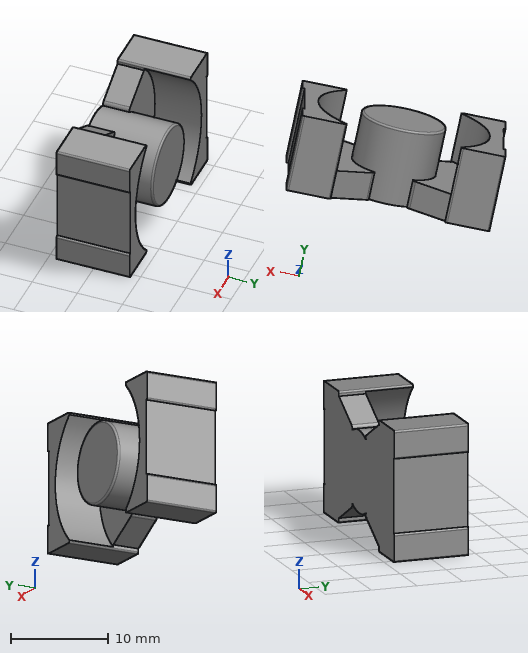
import cadquery as cq

length = 21.3
depth = 8.1
height = 14.0

web_thickness = 2.95
post_radius = 4.4
winding_radius = 9.0
leg_inner_x = 6.0
notch_half_width = 2.0
notch_corner_z = 4.28
web_corner_z = 6.48
side_recess_depth = 0.21
side_recess_half_height = 3.96
edge_radius = 0.2
notch_radius = 0.5
post_edge_radius = 0.21

half_length = length / 2
half_height = height / 2
recess_x = half_length - side_recess_depth


def extrude_along_y(sketch, thickness):
    """Extrude an XZ sketch from the front face (y = 0) towards +Y."""
    return sketch.extrude(-thickness)


def round_edges(body, x, z, radius):
    """Round the Y-parallel edges at (+-x, +-z)."""
    tolerance = 0.01
    for side_x in (-x, x):
        for side_z in (-z, z):
            low = (side_x - tolerance, -tolerance, side_z - tolerance)
            high = (side_x + tolerance, depth + tolerance, side_z + tolerance)
            body = body.edges(cq.selectors.BoxSelector(low, high)).fillet(radius)
    return body


def make_half_web(side):
    """Tapered plate between one leg and the notches beside the post."""
    outline = [
        (side * leg_inner_x, web_corner_z),
        (side * notch_half_width, notch_corner_z),
        (side * notch_half_width, -notch_corner_z),
        (side * leg_inner_x, -web_corner_z),
    ]
    return extrude_along_y(cq.Workplane("XZ").polyline(outline).close(), web_thickness)


def make_leg(side):
    """Outer leg with a shallow recess along its outer face."""
    outline = [
        (side * leg_inner_x, half_height),
        (side * half_length, half_height),
        (side * half_length, side_recess_half_height),
        (side * recess_x, side_recess_half_height),
        (side * recess_x, -side_recess_half_height),
        (side * half_length, -side_recess_half_height),
        (side * half_length, -half_height),
        (side * leg_inner_x, -half_height),
    ]
    return extrude_along_y(cq.Workplane("XZ").polyline(outline).close(), depth)


def make_winding_space():
    """Round clearance around the post, in front of the web."""
    cylinder = extrude_along_y(cq.Workplane("XZ").circle(winding_radius), depth - web_thickness)
    return cylinder.translate((0, web_thickness, 0))


def make_post():
    """Round center post running the full depth, with a rounded free end."""
    post = extrude_along_y(cq.Workplane("XZ").circle(post_radius), depth)
    return post.faces(">Y").edges().fillet(post_edge_radius)


legs = make_leg(-1).union(make_leg(1))
legs = round_edges(legs, leg_inner_x, half_height, edge_radius)
legs = round_edges(legs, half_length, half_height, edge_radius)
legs = round_edges(legs, half_length, side_recess_half_height, edge_radius)

webs = make_half_web(-1).union(make_half_web(1))
webs = round_edges(webs, notch_half_width, notch_corner_z, notch_radius)

result = legs.cut(make_winding_space()).union(webs).union(make_post())